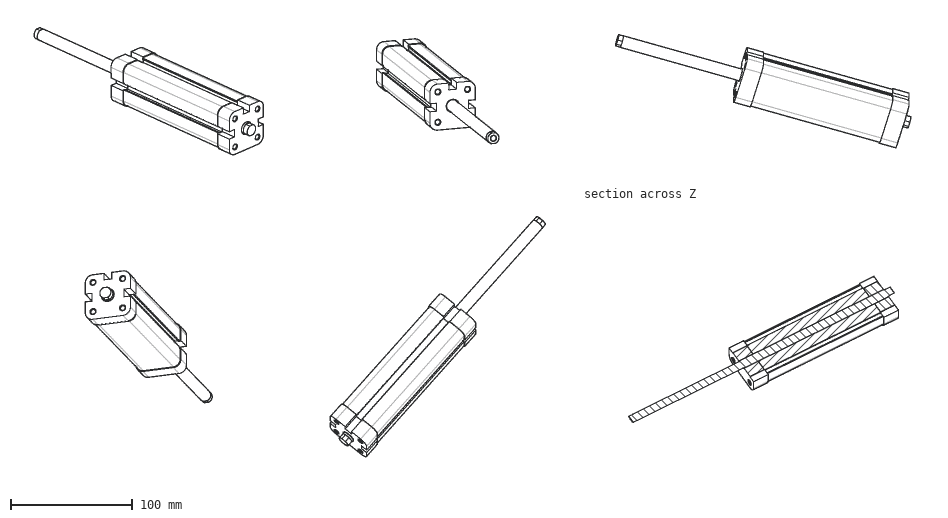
import cadquery as cq

TOTAL_LENGTH = 251.0
FRONT_REACH = 106.0
REAR_REACH = 6.0
CAP_LENGTH = 14.0
CAP_FRONT_X = -TOTAL_LENGTH / 2 + FRONT_REACH
CAP_REAR_X = TOTAL_LENGTH / 2 - REAR_REACH
TUBE_LENGTH = CAP_REAR_X - CAP_FRONT_X - 2 * CAP_LENGTH

CAP_SIZE = 39.5
CAP_CORNER_RADIUS = 6.5
TUBE_INSET = 0.8
TUBE_SIZE = CAP_SIZE - 2 * TUBE_INSET
TUBE_CORNER_RADIUS = CAP_CORNER_RADIUS - TUBE_INSET

CAP_SLOT_WIDTH = 6.8
CAP_SLOT_DEPTH = 5.8
TUBE_SLOT_MOUTH = 5.5
TUBE_SLOT_UNDERCUT = 7.3
TUBE_SLOT_LIP = 1.3
TUBE_SLOT_DEPTH = 4.5
SLOT_ANGLES = (-90, 0, 90)

SCREW_SPACING = 25.9
SCREW_HOLE_DIAMETER = 4.0
SCREW_HOLE_CHAMFER = 0.63

ROD_DIAMETER = 10.0
NECK_DIAMETER = 9.8
FLAT_SPACING = 9.0
FRONT_FLAT_LENGTH = 4.0
REAR_FLAT_LENGTH = 4.5
ROD_END_CHAMFER = 0.3
ROD_HOLE_DIAMETER = 4.5
ROD_HOLE_CHAMFER = 0.38
ROD_HOLE_DEPTH = 10.0
DRILL_TIP_LENGTH = 1.3

CAP_BORE_CHAMFER = 0.63


def x_prism(start_x, length, width, height, center_z=0.0):
    """Box that starts at start_x, runs along +X and is centred on Y = 0."""
    return (
        cq.Workplane("YZ", origin=(start_x, 0, center_z))
        .rect(width, height)
        .extrude(length)
    )


def x_cylinder(start_x, length, diameter):
    """Cylinder on the X axis."""
    return cq.Workplane("YZ", origin=(start_x, 0, 0)).circle(diameter / 2).extrude(length)


def rounded_block(start_x, length, size, corner_radius):
    """Square bar along X with rounded long edges."""
    return x_prism(start_x, length, size, size).edges("|X").fillet(corner_radius)


def cut_slot(body, start_x, length, width, floor_height, roof_height):
    """Cut a channel between two heights from the axis, on each slotted side."""
    height = roof_height - floor_height
    channel = x_prism(start_x, length, width, height, floor_height + height / 2)
    for angle in SLOT_ANGLES:
        body = body.cut(channel.rotate((0, 0, 0), (1, 0, 0), angle))
    return body


def cut_screw_holes(body, start_x, length):
    holes = (
        cq.Workplane("YZ", origin=(start_x, 0, 0))
        .rect(SCREW_SPACING, SCREW_SPACING, forConstruction=True)
        .vertices()
        .circle(SCREW_HOLE_DIAMETER / 2)
        .extrude(length)
    )
    return body.cut(holes)


def make_cap(start_x, outer_face):
    """End cap; outer_face selects the side turned away from the tube."""
    cap = rounded_block(start_x, CAP_LENGTH, CAP_SIZE, CAP_CORNER_RADIUS)
    slot_floor = CAP_SIZE / 2 - CAP_SLOT_DEPTH
    cap = cut_slot(cap, start_x, CAP_LENGTH, CAP_SLOT_WIDTH, slot_floor, CAP_SIZE / 2)
    cap = cut_screw_holes(cap, start_x, CAP_LENGTH)
    screw_hole_rims = cq.selectors.RadiusNthSelector(0)
    cap = cap.faces(outer_face).edges("%CIRCLE").edges(screw_hole_rims).chamfer(SCREW_HOLE_CHAMFER)
    cap = cap.cut(x_cylinder(start_x, CAP_LENGTH, ROD_DIAMETER))
    bore_rim = cq.selectors.RadiusNthSelector(1)
    return cap.faces(outer_face).edges("%CIRCLE").edges(bore_rim).chamfer(CAP_BORE_CHAMFER)


def make_tube():
    start_x = CAP_FRONT_X + CAP_LENGTH
    tube = rounded_block(start_x, TUBE_LENGTH, TUBE_SIZE, TUBE_CORNER_RADIUS)
    roof = TUBE_SIZE / 2
    slot_floor = roof - TUBE_SLOT_DEPTH
    tube = cut_slot(tube, start_x, TUBE_LENGTH, TUBE_SLOT_MOUTH, slot_floor, roof)
    tube = cut_slot(tube, start_x, TUBE_LENGTH, TUBE_SLOT_UNDERCUT, slot_floor, roof - TUBE_SLOT_LIP)
    tube = cut_screw_holes(tube, start_x, TUBE_LENGTH)
    return tube.cut(x_cylinder(start_x, TUBE_LENGTH, ROD_DIAMETER))


def cut_neck(rod, start_x, length):
    """Turn a stretch of the rod down slightly and cut wrench flats facing up and down."""
    slab = x_prism(start_x, length, ROD_DIAMETER, ROD_DIAMETER)
    kept = x_cylinder(start_x, length, NECK_DIAMETER).intersect(
        x_prism(start_x, length, ROD_DIAMETER, FLAT_SPACING)
    )
    return rod.cut(slab.cut(kept))


def make_rod():
    front_x = -TOTAL_LENGTH / 2
    rear_x = TOTAL_LENGTH / 2
    rod = x_cylinder(front_x, TOTAL_LENGTH, ROD_DIAMETER)
    rod = rod.faces("<X or >X").edges().chamfer(ROD_END_CHAMFER)
    rod = cut_neck(rod, front_x, FRONT_FLAT_LENGTH)
    rod = cut_neck(rod, rear_x - REAR_FLAT_LENGTH, REAR_FLAT_LENGTH)
    hole = (
        cq.Workplane("XZ")
        .moveTo(front_x, 0)
        .lineTo(front_x, ROD_HOLE_DIAMETER / 2)
        .lineTo(front_x + ROD_HOLE_DEPTH, ROD_HOLE_DIAMETER / 2)
        .lineTo(front_x + ROD_HOLE_DEPTH + DRILL_TIP_LENGTH, 0)
        .close()
        .revolve(360, (0, 0, 0), (1, 0, 0))
    )
    rod = rod.cut(hole)
    hole_rim = cq.selectors.RadiusNthSelector(0)
    return rod.faces("<X").edges("%CIRCLE").edges(hole_rim).chamfer(ROD_HOLE_CHAMFER)


cap_placements = ((CAP_FRONT_X, "<X"), (CAP_REAR_X - CAP_LENGTH, ">X"))
caps = [make_cap(start_x, outer_face).val() for start_x, outer_face in cap_placements]
tube = make_tube()
rod = make_rod()

result = cq.Compound.makeCompound([*caps, tube.val(), rod.val()])